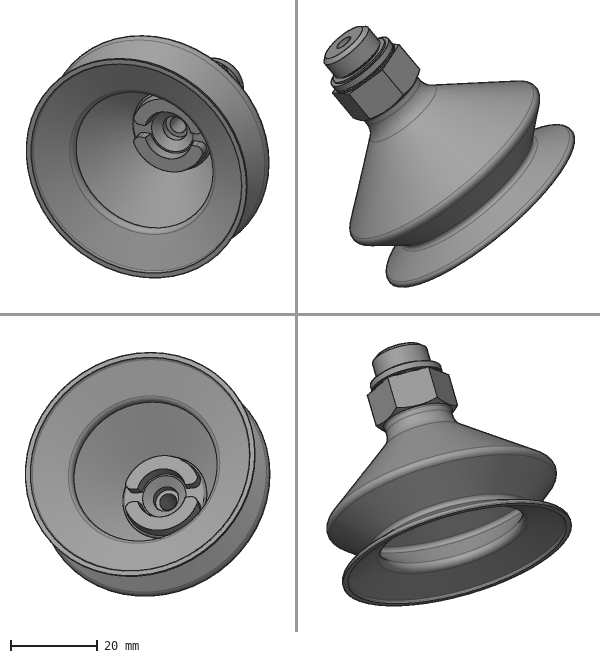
import cadquery as cq
import math


total_height = 52.0
lip_radius = 55.0 / 2

bellows_height = 35.0
top_flare = 0.35
collar_radius = 16.0 / 2
shoulder_height = 31.06
shoulder_rounding = 5.0
bulge_tip = (28.37, 13.87)
bulge_rounding = 1.5
neck_tip = (18.66, 5.13)
neck_rounding = 1.0
lip_edge_height = 0.99
lip_rounding = 1.0

rim_inner_radius = 52.6 / 2
rim_edge_height = 0.67
rim_rounding = 0.43
inner_neck_tip = (15.85, 4.75)
inner_neck_rounding = 1.5
inner_bulge_tip = (25.2, 12.9)
inner_bulge_rounding = 1.0

head_radius = 10.06
head_height = 22.8
head_edge_rounding = 0.48
head_rise = 0.6

pad_height = 20.1
pad_inner_radius = 5.92
pad_outer_radius = 9.2
pad_inner_foot_radius = 5.6
pad_outer_foot_radius = head_radius - head_edge_rounding
pad_half_gap = 1.55
pad_half_width = 8.65
pad_corner_rounding = 1.7

bore_radius = 4.0 / 2
counterbore_radius = 6.0 / 2
counterbore_depth = 2.0
funnel_radius = 5.2
funnel_depth = 1.6

nut_across_flats = 17.0
nut_bottom = bellows_height
nut_top = 43.7
nut_face_radius = collar_radius + top_flare
nut_chamfer_slope = math.tan(math.radians(30))

boss_top = 44.05
washer_bottom = 44.4
washer_top = 45.9
washer_radius = 17.0 / 2
core_radius = 15.1 / 2
core_top = 46.3
undercut_radius = 6.05
thread_bottom = 46.75
thread_radius = 13.16 / 2
thread_chamfer_width = 1.08
thread_chamfer_height = 0.95


tolerance = 1e-6


def rounded_profile(corners):
    """Closed outline through (radius, height[, rounding]) corners, rounded ones as tangent arcs.

    The first corner is always sharp.
    """
    outline = cq.Workplane("XY").moveTo(*corners[0])
    count = len(corners)
    for index in range(1, count):
        corner = corners[index]
        here = cq.Vector(corner[0], corner[1])
        rounding = corner[2] if len(corner) > 2 else 0
        if not rounding:
            outline = outline.lineTo(here.x, here.y)
            continue
        before = cq.Vector(*corners[index - 1][:2])
        after = cq.Vector(*corners[(index + 1) % count][:2])
        back = (before - here).normalized()
        ahead = (after - here).normalized()
        half_angle = back.getAngle(ahead) / 2
        tangent_length = rounding / math.tan(half_angle)
        start = here + back * tangent_length
        end = here + ahead * tangent_length
        middle = here + (back + ahead).normalized() * (rounding / math.sin(half_angle) - rounding)
        if tangent_length < (before - here).Length - tolerance:
            outline = outline.lineTo(start.x, start.y)
        outline = outline.threePointArc((middle.x, middle.y), (end.x, end.y))
    return outline.close()


def turned(corners):
    """Solid of revolution about the Y axis."""
    return rounded_profile(corners).revolve(360, (0, 0, 0), (0, 1, 0))


def make_bellows():
    """Bellows wall with the nipple head closing its cavity and a core reaching into the nut."""
    return turned([
        (0, nut_top),
        (nut_face_radius, nut_top),
        (nut_face_radius, nut_bottom),
        (collar_radius, bellows_height, top_flare),
        (collar_radius, shoulder_height, shoulder_rounding),
        (*bulge_tip, bulge_rounding),
        (*neck_tip, neck_rounding),
        (lip_radius, lip_edge_height, lip_rounding),
        (lip_radius, 0),
        (rim_inner_radius, 0),
        (rim_inner_radius, rim_edge_height, rim_rounding),
        (*inner_neck_tip, inner_neck_rounding),
        (*inner_bulge_tip, inner_bulge_rounding),
        (head_radius, head_height + head_rise),
        (head_radius, head_height, head_edge_rounding),
        (0, head_height),
    ])


def make_pads():
    """Two kidney-shaped pads standing on the head face, with sloping inner and outer walls."""
    ring = turned([
        (pad_inner_foot_radius, head_height),
        (pad_outer_foot_radius, head_height),
        (pad_outer_radius, pad_height),
        (pad_inner_radius, pad_height),
    ])
    pad_reach = 2 * head_radius
    pads = None
    for side in (1, -1):
        limit = (
            cq.Workplane("XY")
            .box(2 * pad_half_width, head_height, pad_reach)
            .edges("|Y")
            .fillet(pad_corner_rounding)
            .translate((0, head_height / 2, side * (pad_half_gap + pad_reach / 2)))
        )
        pad = ring.intersect(limit)
        pads = pad if pads is None else pads.union(pad)
    return pads


def make_air_passage():
    """Funnel in the head face, a short counterbore and a through bore."""
    funnel_end = head_height + funnel_depth
    counterbore_end = funnel_end + counterbore_depth
    return turned([
        (0, head_height),
        (funnel_radius, head_height),
        (counterbore_radius, funnel_end),
        (counterbore_radius, counterbore_end),
        (bore_radius, counterbore_end),
        (bore_radius, total_height),
        (0, total_height),
    ])


def make_nut():
    """Hexagon with flats facing +Z and -Z, its corners chamfered on the cup side."""
    corner_radius = nut_across_flats / math.sqrt(3)
    nut = (
        cq.Workplane("XZ", origin=(0, nut_bottom, 0))
        .polygon(6, 2 * corner_radius)
        .extrude(nut_bottom - nut_top)
    )
    chamfer_height = (corner_radius - nut_face_radius) * nut_chamfer_slope
    envelope = turned([
        (0, nut_bottom),
        (nut_face_radius, nut_bottom),
        (corner_radius, nut_bottom + chamfer_height),
        (corner_radius, nut_top),
        (0, nut_top),
    ])
    return nut.intersect(envelope)


def make_stud():
    """Nut boss, sealing washer, undercut and thread cylinder."""
    return turned([
        (0, nut_top),
        (washer_radius, nut_top),
        (washer_radius, boss_top),
        (core_radius, boss_top),
        (core_radius, washer_bottom),
        (washer_radius, washer_bottom),
        (washer_radius, washer_top),
        (core_radius, washer_top),
        (core_radius, core_top),
        (undercut_radius, core_top),
        (undercut_radius, thread_bottom),
        (thread_radius, thread_bottom),
        (thread_radius, total_height - thread_chamfer_height),
        (thread_radius - thread_chamfer_width, total_height),
        (0, total_height),
    ])


result = (
    make_bellows()
    .union(make_pads())
    .union(make_stud())
    .union(make_nut())
    .cut(make_air_passage())
)